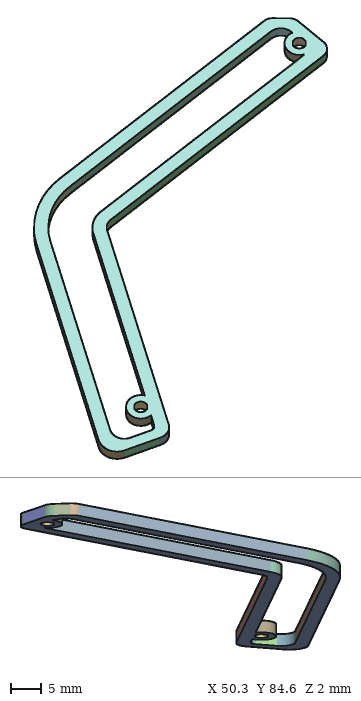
import cadquery as cq
import math

length_y = 84.6
thickness = 2.0
arm_width = 12.0
wall = 2.4

slope = math.radians(30)
bend_depth = 50.95
bend_outer_radius = 14.1
turn = math.pi / 2 - slope

end_lean = math.radians(20)
end_x = 48.8
end_depth = 80.2
end_wall = 2.0
top_chamfer = 3.1
top_radius = 2.0
far_upper_radius = 2.4
far_lower_radius = 3.1
inner_radius = 2.4
inner_tip_radius = 1.0

boss_places = [(7.4, 3.05), (43.3, 74.4)]
boss_diameter = 4.9
hole_diameter = 2.2

top_y = length_y
bend_center = (bend_outer_radius, top_y - bend_depth)


def bend_corner(radius):
    """Sharp corner of the two edges tangent to a bend arc of this radius."""
    return (bend_center[0] - radius, bend_center[1] - radius * math.tan(turn / 2))


def far_corner(radius, inset):
    """Where the sloping edge of a bend arc meets the end face moved inward."""
    start_x, start_y = bend_corner(radius)
    face_x = end_x - inset * math.cos(end_lean)
    face_y = top_y - end_depth + inset * math.sin(end_lean)
    gap = (face_x - start_x) * math.cos(end_lean) - (face_y - start_y) * math.sin(end_lean)
    travel = gap / math.cos(slope - end_lean)
    return (start_x + travel * math.cos(slope), start_y - travel * math.sin(slope))


def rounded_prism(corners):
    """Extrude a polygon of (point, corner radius) pairs and round its corners."""
    prism = cq.Workplane("XY").polyline([point for point, _ in corners]).close().extrude(thickness)
    for (x, y), radius in corners:
        if radius > 0:
            edge = cq.selectors.NearestToPointSelector((x, y, thickness / 2))
            prism = prism.edges("|Z").edges(edge).fillet(radius)
    return prism


def boomerang(inset, end_inset, chamfer, top_left, top_right, far_upper, far_lower):
    """Bent plate whose sides lie inset from the outer frame edge."""
    outer_bend = bend_outer_radius - inset
    inner_bend = bend_outer_radius - arm_width + inset
    left = inset
    right = arm_width - inset
    top = top_y - inset
    if chamfer > 0:
        left_corners = [((left, top - chamfer), top_left), ((left + chamfer, top), top_left)]
    else:
        left_corners = [((left, top), top_left)]
    return rounded_prism([
        (bend_corner(outer_bend), outer_bend),
        *left_corners,
        ((right, top), top_right),
        (bend_corner(inner_bend), inner_bend),
        (far_corner(inner_bend, end_inset), far_upper),
        (far_corner(outer_bend, end_inset), far_lower),
    ])


def boss_cylinders(diameter):
    """Full-height cylinders at both screw places."""
    points = [(x, top_y - depth) for x, depth in boss_places]
    return cq.Workplane("XY").pushPoints(points).circle(diameter / 2).extrude(thickness)


plate = boomerang(0, 0, top_chamfer, top_radius, top_radius, far_upper_radius, far_lower_radius)
opening = boomerang(wall, end_wall, 0, inner_radius, inner_radius, inner_tip_radius, inner_radius)

result = plate.cut(opening).union(boss_cylinders(boss_diameter)).cut(boss_cylinders(hole_diameter))